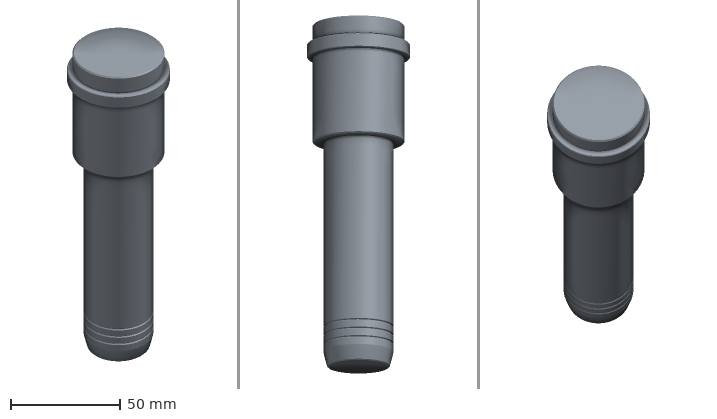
import cadquery as cq

total_length = 160.0
head_height = 9.0
flange_height = 6.2
body_bottom = 105.0
flange_top = total_length - head_height
flange_bottom = flange_top - flange_height

flange_diameter = 47.0
body_diameter = 42.0
shaft_diameter = 32.0

edge_chamfer = 0.6
flange_chamfer = 0.3
relief_width = 1.0
relief_depth = 0.5

nose_height = 7.0
nose_end_diameter = 28.8
nose_bulge = 0.2
tip_chamfer = 0.5

groove_count = 3
groove_pitch = 4.0
first_groove_height = 10.7
groove_width = 1.0
groove_depth = 0.5


def cylinder(diameter, bottom, top):
    """Solid cylinder on the Z axis between two heights."""
    return cq.Workplane("XY").workplane(offset=bottom).circle(diameter / 2).extrude(top - bottom)


def ring_groove(diameter, depth, bottom, width):
    """Ring to remove from a cylinder, cutting a square groove."""
    outer = cylinder(diameter, bottom, bottom + width)
    return outer.cut(cylinder(diameter - 2 * depth, bottom, bottom + width))


def v_groove(diameter, depth, center_height, width):
    """Ring to remove from a cylinder, cutting a V-shaped groove."""
    radius = diameter / 2
    return (
        cq.Workplane("XZ")
        .moveTo(radius, center_height - width / 2)
        .lineTo(radius - depth, center_height)
        .lineTo(radius, center_height + width / 2)
        .close()
        .revolve(360, (0, 0, 0), (0, 1, 0))
    )


def make_nose():
    """Bulged taper, widening from the chamfered tip to the shaft."""
    shaft_radius = shaft_diameter / 2
    end_radius = nose_end_diameter / 2
    middle_radius = (shaft_radius + end_radius) / 2 + nose_bulge
    middle_height = (tip_chamfer + nose_height) / 2
    return (
        cq.Workplane("XZ")
        .moveTo(0, 0)
        .lineTo(end_radius - tip_chamfer, 0)
        .lineTo(end_radius, tip_chamfer)
        .threePointArc((middle_radius, middle_height), (shaft_radius, nose_height))
        .lineTo(0, nose_height)
        .close()
        .revolve(360, (0, 0, 0), (0, 1, 0))
    )


body = cylinder(body_diameter, body_bottom, total_length).edges().chamfer(edge_chamfer)
flange = cylinder(flange_diameter, flange_bottom, flange_top).edges().chamfer(flange_chamfer)
shaft = cylinder(shaft_diameter, nose_height, body_bottom)

body = body.cut(ring_groove(body_diameter, relief_depth, flange_top, relief_width))
body = body.cut(ring_groove(body_diameter, relief_depth, flange_bottom - relief_width, relief_width))
shaft = shaft.cut(ring_groove(shaft_diameter, relief_depth, body_bottom - relief_width, relief_width))

for index in range(groove_count):
    groove_height = first_groove_height + index * groove_pitch
    shaft = shaft.cut(v_groove(shaft_diameter, groove_depth, groove_height, groove_width))

result = body.union(flange).union(shaft).union(make_nose())